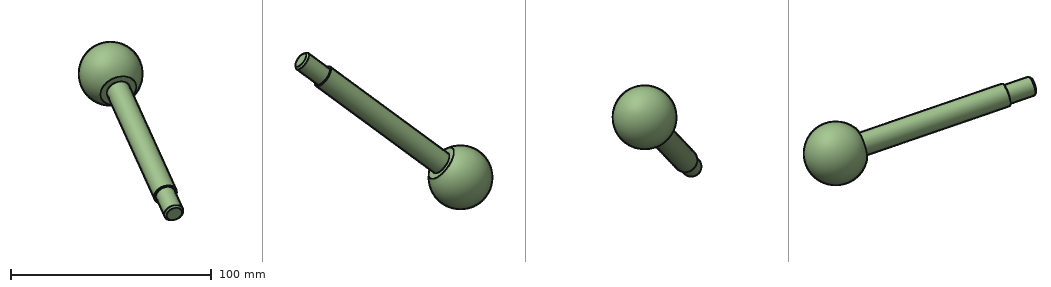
import cadquery as cq
import math

ball_diameter = 32.0
ball_length = 29.0
rod_diameter = 12.0
rod_length = 80.0
spigot_diameter = 10.0
spigot_length = 15.0
spigot_chamfer = 1.0

ball_radius = ball_diameter / 2
ball_pole_x = -ball_length
ball_center_x = ball_pole_x + ball_radius
flat_radius = math.sqrt(ball_radius**2 - ball_center_x**2)
rod_radius = rod_diameter / 2
spigot_radius = spigot_diameter / 2
spigot_end_x = rod_length + spigot_length


def make_lever():
    """Revolve the half profile of ball, rod and spigot about the X axis."""
    profile = (
        cq.Workplane("XY")
        .moveTo(ball_pole_x, 0)
        .threePointArc((ball_center_x, ball_radius), (0, flat_radius))
        .lineTo(0, rod_radius)
        .lineTo(rod_length, rod_radius)
        .lineTo(rod_length, spigot_radius)
        .lineTo(spigot_end_x - spigot_chamfer, spigot_radius)
        .lineTo(spigot_end_x, spigot_radius - spigot_chamfer)
        .lineTo(spigot_end_x, 0)
        .close()
    )
    return profile.revolve(360, (0, 0, 0), (1, 0, 0))


result = make_lever()